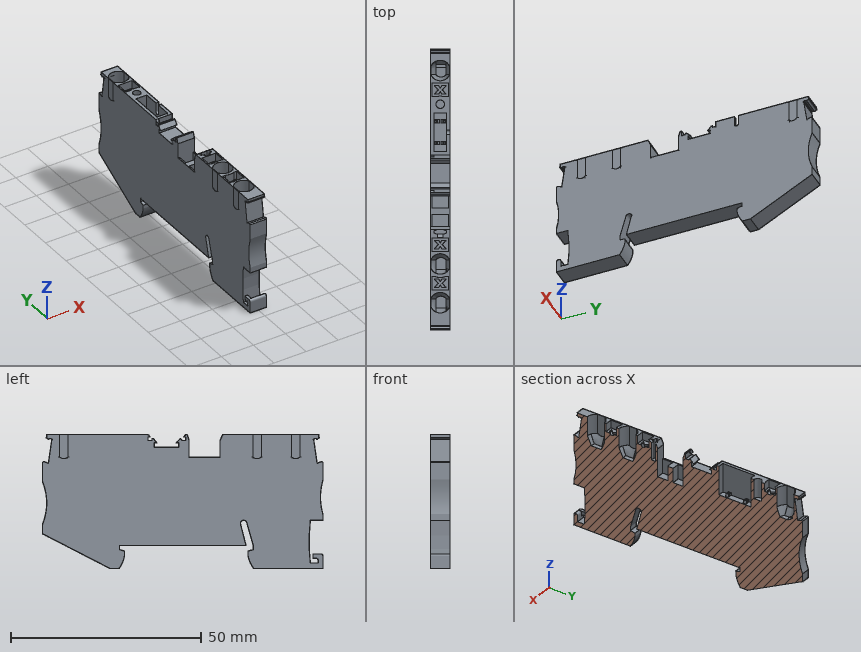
import cadquery as cq
import math

thickness = 5.15
length = 73.7
height = 35.2
half_x = thickness / 2
half_y = length / 2
margin = 0.75
overlap = 0.15
cut_width = thickness + 2 * margin


def side_plane(x=-half_x - margin):
    """Sketch plane facing +X, with Y to the right and Z up."""
    return cq.Workplane("YZ", origin=(x, 0, 0))


def prism(points, x_from=-half_x - margin, x_to=half_x + margin):
    """Straight-sided prism along X with the given (y, z) outline."""
    return side_plane(x_from).polyline(points).close().extrude(x_to - x_from)


def pit(x_from, x_to, y_from, y_to, z_floor, z_top=height + margin):
    """Rectangular block spanning the given limits, used to cut downwards."""
    size = (x_to - x_from, y_to - y_from, z_top - z_floor)
    return cq.Workplane("XY").box(*size, centered=False).translate((x_from, y_from, z_floor))


def round_pit(radius, y, z_floor, z_top=height + margin):
    """Vertical cylinder on the mid-plane, from its floor up to z_top."""
    return cq.Workplane("XY", origin=(0, y, z_floor)).circle(radius).extrude(z_top - z_floor)


lip_y = 35.75
lip_tip_y = 36.0
lip_tip_z = 34.35
lip_face_z = 34.5
lip_bottom_z = 34.1
lip_bottom_y = 35.5
lip_bead_z = 33.9
lip_bead_y = 35.2
lip_bead_end_y = 35.1
groove_start_y = 34.65
groove_end_y = 34.2
neck_top_y = 34.4
neck_bottom_y = 35.3
neck_bottom_z = 27.7
shoulder_y = 36.5
shoulder_z = 28.15
shoulder_edge_z = 27.9

rear_waist_low_z = 11.65
rear_waist_high_z = 22.85
rear_waist_depth = 1.1
front_waist_low_z = 14.2
front_waist_high_z = 23.3
front_waist_depth = 0.7


def end_recess():
    """Undercut between the top lip and the shoulder at the +Y end."""
    outside_y = half_y + margin
    return prism([
        (outside_y, height + margin),
        (lip_y, height + margin),
        (lip_y, lip_face_z),
        (lip_tip_y, lip_tip_z),
        (lip_bottom_y, lip_bottom_z),
        (lip_bead_y, lip_bead_z),
        (lip_bead_end_y, lip_bottom_z),
        (groove_start_y, lip_bottom_z),
        (groove_end_y, lip_bead_z),
        (neck_top_y, lip_bead_z),
        (neck_bottom_y, neck_bottom_z),
        (shoulder_y, shoulder_z),
        (half_y, shoulder_edge_z),
        (outside_y, shoulder_edge_z),
    ])


def waist(side, z_low, z_high, depth):
    """Shallow arc-shaped hollow in an end face; side is +1 for +Y and -1 for -Y."""
    face_y = side * half_y
    return (
        side_plane()
        .moveTo(face_y, z_low)
        .threePointArc((side * (half_y - depth), (z_low + z_high) / 2), (face_y, z_high))
        .close()
        .extrude(cut_width)
    )


rail_z = 6.05
rail_y = 16.6
jaw_z = 5.0
jaw_lip_z = 4.65
jaw_arc_z = 3.5
fixed_jaw_y = 15.25
fixed_foot_y = 16.7
foot_slope_y = 19.1
foot_slope_z = 9.15
spring_jaw_y = -17.1
spring_foot_y = -18.65
jaw_bulge = 0.26

slot_low_y = -16.65
spring_back_y = -18.5
slot_top_y = -16.0
slot_top_z = 11.9
slot_radius = 0.8


def foot_slope():
    """Sloped corner below the +Y end."""
    return prism([
        (half_y, foot_slope_z),
        (foot_slope_y, 0),
        (foot_slope_y, -margin),
        (half_y + margin, -margin),
        (half_y + margin, foot_slope_z),
    ])


def rail_opening():
    """Opening between the fixed jaw and the sprung jaw that grips the rail."""
    middle_z = jaw_arc_z / 2
    fixed_middle_y = (fixed_jaw_y + fixed_foot_y) / 2 - jaw_bulge
    spring_middle_y = (spring_jaw_y + spring_foot_y) / 2 + jaw_bulge
    return (
        side_plane()
        .moveTo(fixed_foot_y, 0)
        .threePointArc((fixed_middle_y, middle_z), (fixed_jaw_y, jaw_arc_z))
        .lineTo(fixed_jaw_y, jaw_lip_z)
        .lineTo(rail_y, jaw_z)
        .lineTo(rail_y, rail_z)
        .lineTo(spring_back_y, rail_z)
        .lineTo(spring_back_y, jaw_z)
        .lineTo(spring_jaw_y, jaw_lip_z)
        .lineTo(spring_jaw_y, jaw_arc_z)
        .threePointArc((spring_middle_y, middle_z), (spring_foot_y, 0))
        .close()
        .extrude(cut_width)
    )


def spring_slot():
    """Slanted round-ended slot that lets the -Y jaw flex."""
    run_y = (slot_low_y + spring_back_y) / 2 - slot_top_y
    run_z = rail_z - slot_top_z
    run = math.hypot(run_y, run_z)
    side_y = -run_z / run * slot_radius
    side_z = run_y / run * slot_radius
    slot = prism([
        (slot_top_y + side_y, slot_top_z + side_z),
        (slot_low_y, rail_z),
        (spring_back_y, rail_z),
        (slot_top_y - side_y, slot_top_z - side_z),
    ])
    end = (
        side_plane()
        .center(slot_top_y, slot_top_z)
        .circle(slot_radius)
        .extrude(cut_width)
    )
    return slot.union(end)


hook_recess_top_z = 12.7
hook_wall_y = -33.5
hook_wall_bulge_y = -33.25
hook_wall_bulge_low_z = 5.15
hook_wall_bulge_high_z = 8.7
hook_floor_z = 1.55
hook_tip_y = -34.2
hook_under_z = 2.7
hook_inner_y = -35.5
hook_top_z = 3.9
hook_chamfer = 0.4
hook_radius = (half_y + hook_inner_y) / 2
hook_tongue_width = 0.9


def hook_recess():
    """Recess in the -Y end that leaves an upturned, rounded hook at the base."""
    outside_y = -half_y - margin
    arc_inset = hook_radius * (1 - math.sqrt(0.5))
    return (
        side_plane()
        .moveTo(outside_y, hook_recess_top_z)
        .lineTo(hook_wall_y, hook_recess_top_z)
        .lineTo(hook_wall_bulge_y, hook_wall_bulge_high_z)
        .lineTo(hook_wall_bulge_y, hook_wall_bulge_low_z)
        .lineTo(hook_wall_y, hook_floor_z)
        .lineTo(hook_inner_y, hook_floor_z)
        .lineTo(hook_inner_y, hook_under_z - hook_chamfer)
        .lineTo(hook_inner_y + hook_chamfer, hook_under_z)
        .lineTo(hook_tip_y, hook_under_z)
        .lineTo(hook_tip_y, hook_top_z)
        .lineTo(-half_y + hook_radius, hook_top_z)
        .threePointArc(
            (-half_y + arc_inset, hook_top_z - arc_inset),
            (-half_y, hook_top_z - hook_radius),
        )
        .lineTo(outside_y, hook_top_z - hook_radius)
        .close()
        .extrude(cut_width)
    )


def hook_clearance():
    """Space beside the tongue, leaving only the round-topped upright of the hook."""
    arc_inset = hook_radius * (1 - math.sqrt(0.5))
    start_x = -half_x + hook_tongue_width
    return (
        side_plane(start_x)
        .moveTo(hook_wall_y, hook_floor_z)
        .lineTo(hook_inner_y, hook_floor_z)
        .lineTo(hook_inner_y, hook_top_z - hook_radius)
        .threePointArc(
            (hook_inner_y - arc_inset, hook_top_z - arc_inset),
            (hook_inner_y - hook_radius, hook_top_z),
        )
        .lineTo(hook_tip_y, hook_top_z)
        .close()
        .extrude(half_x + margin - start_x)
    )


clip_wall_y = 9.1
clip_far_wall_y = -0.75
clip_shelf_z = 33.7
clip_ridge_z = 34.2
clip_edge_z = 33.0
clip_floor_z = 31.9
rear_ridge_start_y = 8.1
rear_ridge_end_y = 7.75
rear_ridge_edge_y = 6.8
front_ridge_edge_y = 1.8
front_ridge_y = 0.6
front_shelf_y = 0.15
clip_floor_start_y = 7.45
clip_floor_end_y = 1.1
barb_width = 0.9
barb_reach = 0.5
barb_z = 34.6

post_top_y = -1.2
post_y = -1.7
post_slope_z = 33.7
notch_end_y = -9.7
notch_slope_end_y = -10.5
notch_slope_z = 33.5
notch_floor_z = 29.25


def clip_recess():
    """Recess with two sloped, undercut ridges that hold a marker."""
    return prism([
        (clip_wall_y, height + margin),
        (clip_wall_y, clip_shelf_z),
        (rear_ridge_start_y, clip_shelf_z),
        (rear_ridge_start_y, clip_ridge_z),
        (rear_ridge_end_y, clip_ridge_z),
        (rear_ridge_edge_y, clip_edge_z),
        (clip_floor_start_y, clip_edge_z),
        (clip_floor_start_y, clip_floor_z),
        (clip_floor_end_y, clip_floor_z),
        (clip_floor_end_y, clip_edge_z),
        (front_ridge_edge_y, clip_edge_z),
        (front_ridge_y, clip_ridge_z),
        (front_shelf_y, clip_shelf_z),
        (clip_far_wall_y, clip_shelf_z),
        (clip_far_wall_y, height + margin),
    ])


def clip_barb(wall_y, direction):
    """Short triangular barb leaning from a clip wall into the recess."""
    points = [
        (wall_y, height),
        (wall_y + direction * barb_reach, barb_z),
        (wall_y - direction * overlap, barb_z),
        (wall_y - direction * overlap, height),
    ]
    return prism(points, -half_x, -half_x + barb_width)


def notch():
    """Square notch beside the clip post, with both upper corners sloped."""
    return prism([
        (post_top_y, height + margin),
        (post_top_y, height),
        (post_y, post_slope_z),
        (post_y, notch_floor_z),
        (notch_end_y, notch_floor_z),
        (notch_end_y, notch_slope_z),
        (notch_slope_end_y, height),
        (notch_slope_end_y, height + margin),
    ])


pocket_half_x = 2.15

notch_pit_depth = 4.4
notch_web_from_y = -6.55
notch_web_to_y = -4.8

wire_diameter = 5.4
wire_radius = wire_diameter / 2
wire_half_x = 2.4
wire_straight_depth = 5.9
wire_funnel_depth = 2.65
wire_wall = 0.9
wire_floor_x = (-1.2, 1.55)
wire_floor_flat = 1.4
wire_floor_shoulder = 1.0
wire_floor_round = 1.7
wire_ledge_width = 0.55
wire_ledge_height = 0.4
wire_to_driver = 5.1

driver_half_y = 1.8
driver_depth = 2.4
cross_depth = 0.45
cross_half_x = 1.55
cross_half_y = 1.1
cross_inner_x = 0.45
cross_waist_x = 0.5
cross_waist_y = 0.45

rear_driver_y = 26.2
front_driver_y = -14.45
terminal_pitch = 10.2


def wire_hole():
    """Flattened round hole, centred on Y = 0, with a funnel to a small floor that is flat towards +Y."""
    x_left, x_right = wire_floor_x
    x_middle = (x_left + x_right) / 2
    side_x = math.sqrt(wire_radius ** 2 - wire_floor_shoulder ** 2)
    left_y = math.sqrt(wire_radius ** 2 - x_left ** 2)
    right_y = math.sqrt(wire_radius ** 2 - x_right ** 2)
    funnel_top_z = height - wire_straight_depth
    funnel = (
        cq.Workplane("XY", origin=(0, 0, funnel_top_z))
        .moveTo(x_left, left_y)
        .threePointArc((0, wire_radius), (x_right, right_y))
        .threePointArc((wire_radius, 0), (side_x, -wire_floor_shoulder))
        .threePointArc((0, -wire_radius), (-side_x, -wire_floor_shoulder))
        .threePointArc((-wire_radius, 0), (x_left, left_y))
        .close()
        .workplane(offset=-wire_funnel_depth)
        .moveTo(x_left, wire_floor_flat)
        .lineTo(x_right, wire_floor_flat)
        .lineTo(x_right, -wire_floor_shoulder)
        .threePointArc((x_middle, -wire_floor_round), (x_left, -wire_floor_shoulder))
        .close()
        .loft(ruled=True)
    )
    hole = round_pit(wire_radius, 0, funnel_top_z).union(funnel)
    return hole.intersect(pit(-wire_half_x, wire_half_x, -wire_radius, wire_radius, 0))


def cross_recess(y):
    """Diagonal cross sunk into the floor of a driver pocket."""
    quarter = [
        (cross_waist_x, 0),
        (cross_half_x, cross_half_y),
        (cross_inner_x, cross_half_y),
    ]
    upper = quarter + [(0, cross_waist_y)] + [(-x, dy) for x, dy in reversed(quarter)]
    lower = [(-x, -dy) for x, dy in upper[1:-1]]
    floor_z = height - driver_depth
    return (
        cq.Workplane("XY", origin=(0, y, floor_z - cross_depth))
        .polyline(upper + lower)
        .close()
        .extrude(cross_depth)
    )


def driver_pocket(y, boss_y, boss_radius):
    """Rectangular pocket with a cross in its floor; a neighbouring round wall bulges into one end."""
    floor_z = height - driver_depth
    pocket = pit(-pocket_half_x, pocket_half_x, y - driver_half_y, y + driver_half_y, floor_z)
    boss = round_pit(boss_radius, boss_y, floor_z)
    return pocket.cut(boss).union(cross_recess(y))


test_hole_y = 22.4
test_hole_radius = 1.1
test_hole_depth = 5.9
test_hole_wall = 1.0

bridge_width = 3.3
bridge_half_x = bridge_width / 2
bridge_from_y = 9.95
bridge_to_y = 20.1
bridge_depth = 8.85
contact_y = (12.2, 17.9)
contact_width = 0.9
contact_height = 0.75
contact_top_x = 0.7
contact_foot_x = 0.2
contact_socket_x = 1.2
contact_socket_size = 0.5

vent_y = 15.0
vent_radius = 0.6
vent_depth = 3.25


def bridge_shaft():
    """Deep rectangular shaft with pairs of socketed, wedge-shaped contacts standing on its floor."""
    floor_z = height - bridge_depth
    top_z = floor_z + contact_height
    shaft = pit(-bridge_half_x, bridge_half_x, bridge_from_y, bridge_to_y, floor_z)
    for y in contact_y:
        for side in (-1, 1):
            contact = (
                cq.Workplane("XZ", origin=(0, y + contact_width / 2, 0))
                .moveTo(side * contact_foot_x, floor_z)
                .lineTo(side * contact_top_x, top_z)
                .lineTo(side * bridge_half_x, top_z)
                .lineTo(side * bridge_half_x, floor_z)
                .close()
                .extrude(contact_width)
            )
            socket_x = side * contact_socket_x
            reach = contact_socket_size / 2
            socket = pit(socket_x - reach, socket_x + reach, y - reach, y + reach, floor_z)
            shaft = shaft.cut(contact.cut(socket))
    return shaft


def vent_slit():
    """Round-bottomed slit through the +X wall of the bridge shaft."""
    centre_z = height - vent_depth + vent_radius
    start_x = bridge_half_x - overlap
    reach = half_x + margin - start_x
    bottom = (
        cq.Workplane("YZ", origin=(start_x, vent_y, centre_z)).circle(vent_radius).extrude(reach)
    )
    return bottom.union(
        pit(start_x, start_x + reach, vent_y - vent_radius, vent_y + vent_radius, centre_z)
    )


probe_y = -11.1
probe_half_x = 1.6
probe_half_y = 0.6
probe_corner_x = 0.9
probe_corner_y = 0.3
probe_depth = 5.9
probe_wall_radius = 1.6
probe_slope_y = -12.5
probe_slope_half_x = 0.75
probe_slope_depth = 0.6


def probe_slot():
    """Eight-sided test slot with a sloped lead-in on its -Y side."""
    corners = [
        (probe_half_x, -probe_corner_y),
        (probe_half_x, probe_corner_y),
        (probe_corner_x, probe_half_y),
        (-probe_corner_x, probe_half_y),
        (-probe_half_x, probe_corner_y),
        (-probe_half_x, -probe_corner_y),
        (-probe_corner_x, -probe_half_y),
        (probe_corner_x, -probe_half_y),
    ]
    slot = (
        cq.Workplane("XY", origin=(0, probe_y, height - probe_depth))
        .polyline(corners)
        .close()
        .extrude(probe_depth + margin)
    )
    lead_in = prism(
        [
            (probe_y, height - probe_slope_depth),
            (probe_y - probe_half_y, height - probe_slope_depth),
            (probe_slope_y, height),
            (probe_y, height),
        ],
        -probe_slope_half_x,
        probe_slope_half_x,
    )
    return slot.union(lead_in)


body = cq.Workplane("XY").box(thickness, length, height, centered=(True, True, False))

body = body.cut(end_recess()).cut(end_recess().mirror("XZ"))
body = body.cut(waist(1, rear_waist_low_z, rear_waist_high_z, rear_waist_depth))
body = body.cut(waist(-1, front_waist_low_z, front_waist_high_z, front_waist_depth))
body = body.cut(foot_slope()).cut(rail_opening()).cut(spring_slot())
body = body.cut(hook_recess()).cut(hook_clearance())

body = body.cut(clip_recess()).cut(notch())
body = body.union(clip_barb(clip_wall_y, -1)).union(clip_barb(clip_far_wall_y, 1))

notch_pit_z = notch_floor_z - notch_pit_depth
for y_from, y_to in ((notch_end_y, notch_web_from_y), (notch_web_to_y, post_y)):
    body = body.cut(pit(-pocket_half_x, pocket_half_x, y_from, y_to, notch_pit_z, notch_floor_z))

rear_wire_y = rear_driver_y + wire_to_driver
first_wire_y = front_driver_y - wire_to_driver
body = body.cut(wire_hole().translate((0, rear_wire_y, 0)))
for wire_y in (first_wire_y, first_wire_y - terminal_pitch):
    body = body.cut(wire_hole().mirror("XZ").translate((0, wire_y, 0)))

rear_wire_floor_z = height - wire_straight_depth - wire_funnel_depth
ledge_end_y = rear_wire_y + wire_floor_flat
body = body.union(
    pit(
        *wire_floor_x,
        ledge_end_y - wire_ledge_width,
        ledge_end_y + margin,
        rear_wire_floor_z - margin,
        rear_wire_floor_z + wire_ledge_height,
    )
)

body = body.cut(driver_pocket(rear_driver_y, test_hole_y, test_hole_radius + test_hole_wall))
body = body.cut(driver_pocket(front_driver_y, probe_y, probe_wall_radius))
body = body.cut(driver_pocket(front_driver_y - terminal_pitch, first_wire_y, wire_radius + wire_wall))

body = body.cut(round_pit(test_hole_radius, test_hole_y, height - test_hole_depth))
body = body.cut(bridge_shaft()).cut(vent_slit()).cut(probe_slot())

result = body